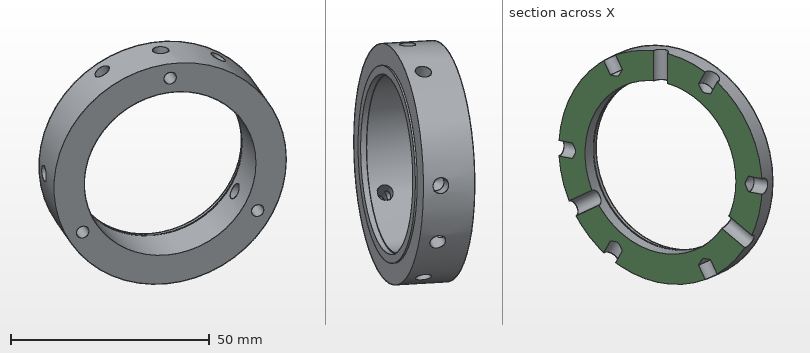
import cadquery as cq
import math

outer_diameter = 61.0
bore_diameter = 45.0
body_width = 13.55

lip_diameter = 50.0
lip_height = 0.5
recess_diameter = 45.5
recess_depth = 1.5

blind_count = 6
blind_diameter = 4.1
blind_depth = 4.1
blind_x = 4.6
drill_point_angle = 118.0

through_count = 3
through_first_angle = 90.0
through_diameter = 4.1
through_x = 5.0
axial_diameter = 3.25

outer_radius = outer_diameter / 2
bore_radius = bore_diameter / 2
wall_middle_radius = (outer_radius + bore_radius) / 2


def cylinder_along_x(diameter, start_x, length):
    """Solid cylinder on the ring axis."""
    return cq.Workplane("YZ").workplane(offset=start_x).circle(diameter / 2).extrude(length)


def make_ring():
    total_width = body_width + lip_height
    ring = cylinder_along_x(outer_diameter, 0, body_width)
    ring = ring.union(cylinder_along_x(lip_diameter, -lip_height, total_width))
    ring = ring.cut(cylinder_along_x(bore_diameter, -lip_height, total_width))
    return ring.cut(cylinder_along_x(recess_diameter, -lip_height, recess_depth))


def around_ring(tool, count, first_angle=0.0):
    """Copies of a tool on the +Y side, evenly spaced about the ring axis."""
    copies = cq.Workplane("YZ")
    for index in range(count):
        angle = first_angle + index * 360 / count
        copies = copies.add(tool.rotate((0, 0, 0), (1, 0, 0), angle))
    return copies.combine()


def make_blind_tool():
    """Drill shape pointing from the rim toward the ring axis."""
    radius = blind_diameter / 2
    floor_y = outer_radius - blind_depth
    point_length = radius / math.tan(math.radians(drill_point_angle / 2))
    profile = (
        cq.Workplane("XY")
        .moveTo(blind_x, outer_radius)
        .lineTo(blind_x + radius, outer_radius)
        .lineTo(blind_x + radius, floor_y)
        .lineTo(blind_x, floor_y - point_length)
        .close()
    )
    return profile.revolve(360, (blind_x, 0), (blind_x, 1))


def make_through_tool():
    """Radial hole from the ring axis out through the rim, with its axial hole."""
    radial = (
        cq.Workplane("XZ")
        .center(through_x, 0)
        .circle(through_diameter / 2)
        .extrude(-outer_radius)
    )
    axial = (
        cq.Workplane("YZ")
        .workplane(offset=through_x)
        .center(wall_middle_radius, 0)
        .circle(axial_diameter / 2)
        .extrude(body_width - through_x)
    )
    return radial.union(axial)


result = (
    make_ring()
    .cut(around_ring(make_blind_tool(), blind_count))
    .cut(around_ring(make_through_tool(), through_count, through_first_angle))
)